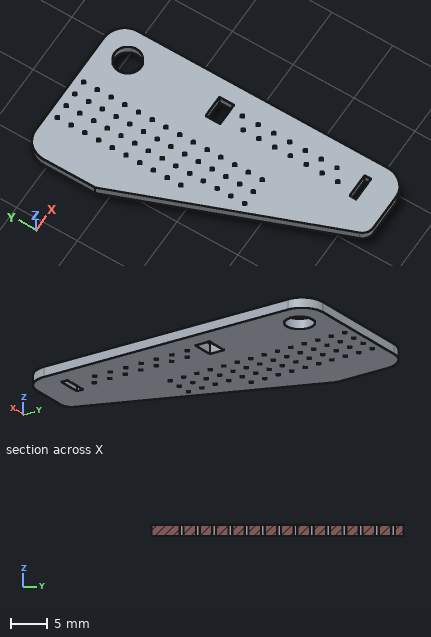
import cadquery as cq

width = 24.5
length = 48.0
thickness = 1.6
corner_radius = 3.5
taper_start_y = 36.05
taper_end_x = 14.0
taper_corner_radius = 1.85

opening_x = 19.8
round_hole_diameter = 4.25
round_hole_y = 43.25
window_width = 3.55
window_height = 2.35
window_y = 28.15
slot_width = 3.85
slot_height = 1.0
slot_y = 5.05

pin_diameter = 0.5
grid_pitch = 2.25
grid_left_x = 6.7
grid_top_y = 46.5
grid_column_rows = [10, 14, 14, 14]

zigzag_rows = 7
zigzag_pitch = 2.6
zigzag_column_spacing = 1.8
zigzag_right_x = 20.7
zigzag_top_y = 25.0


def make_plate():
    plate = (
        cq.Workplane("XY")
        .moveTo(0, length)
        .lineTo(width, length)
        .lineTo(width, 0)
        .lineTo(taper_end_x, 0)
        .lineTo(0, taper_start_y)
        .close()
        .extrude(thickness)
    )
    plate = plate.edges("|Z and (>X or >Y)").fillet(corner_radius)
    taper_corner = cq.selectors.NearestToPointSelector((taper_end_x, 0, thickness / 2))
    return plate.edges("|Z").edges(taper_corner).fillet(taper_corner_radius)


def rectangle_cutter(size_x, size_y, center_y):
    return cq.Workplane("XY").center(opening_x, center_y).rect(size_x, size_y).extrude(thickness)


def hole_cutter(points, diameter):
    return cq.Workplane("XY").pushPoints(points).circle(diameter / 2).extrude(thickness)


def column_points(x, top_y, pitch, count):
    return [(x, top_y - row * pitch) for row in range(count)]


pin_points = []
for column, rows in enumerate(grid_column_rows):
    column_x = grid_left_x + column * grid_pitch
    pin_points += column_points(column_x, grid_top_y, grid_pitch, rows)

zigzag_left_x = zigzag_right_x - zigzag_column_spacing
zigzag_left_top_y = zigzag_top_y - zigzag_pitch / 2
pin_points += column_points(zigzag_right_x, zigzag_top_y, zigzag_pitch, zigzag_rows)
pin_points += column_points(zigzag_left_x, zigzag_left_top_y, zigzag_pitch, zigzag_rows)

result = (
    make_plate()
    .cut(hole_cutter([(opening_x, round_hole_y)], round_hole_diameter))
    .cut(rectangle_cutter(window_width, window_height, window_y))
    .cut(rectangle_cutter(slot_width, slot_height, slot_y))
    .cut(hole_cutter(pin_points, pin_diameter))
)